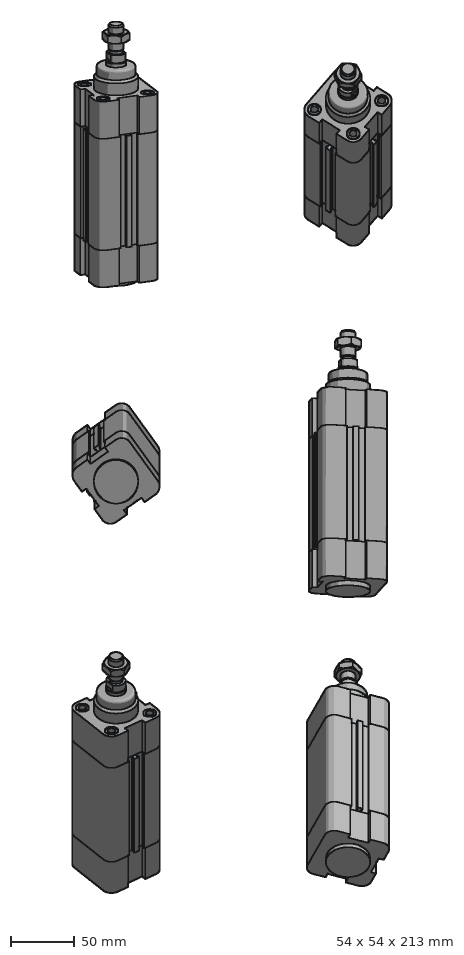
import cadquery as cq
import math

body_width = 54.0
half_width = body_width / 2
corner_radius = 8.0

rear_collar_height = 4.0
cap_height = 31.0
barrel_height = 93.0
total_height = 213.0
rear_cap_bottom = rear_collar_height
barrel_bottom = rear_cap_bottom + cap_height
barrel_top = barrel_bottom + barrel_height
front_cap_top = barrel_top + cap_height

slot_angles = (-90, 0, 90)
slot_width = 17.0
slot_depth = 4.2
slot_opening = 14.6
lip_thickness = 1.8
rib_width = 3.2
rib_head_width = 4.5

collar_diameter = 35.0
collar_neck_diameter = 31.0
collar_step_height = 10.0
collar_cone_height = (collar_diameter - collar_neck_diameter) / 2
collar_height = 20.0
collar_rounding = 2.0

screw_spacing = body_width - 2 * corner_radius
ring_outer_diameter = 10.5
ring_inner_diameter = 10.0
ring_depth = 1.0
screw_hole_diameter = 6.0
screw_hole_depth = 12.0
drill_tip_angle = 118.0

rod_diameter = 16.0
rod_shoulder_top = 182.6
rod_shoulder_chamfer_height = 0.6
wrench_diameter = 15.5
wrench_top = 189.0
wrench_width = 13.0
wrench_flat_bottom = 183.9
thread_diameter = 12.0
thread_bottom = 192.2
relief_diameter = 10.5
thread_tip_diameter = 10.2
thread_tip_chamfer_height = 1.4

nut_width = 19.0
nut_corner_diameter = nut_width / math.cos(math.pi / 6)
nut_face_diameter = 18.6
nut_height = 7.0
nut_bottom = 199.2
nut_chamfer_angle = math.radians(30)


def body_block(bottom, height):
    """Square block with rounded upright edges."""
    block = cq.Workplane("XY").workplane(offset=bottom).rect(body_width, body_width).extrude(height)
    return block.edges("|Z").fillet(corner_radius)


def cylinder(diameter, bottom, height):
    return cq.Workplane("XY").workplane(offset=bottom).circle(diameter / 2).extrude(height)


def side_bar(width, depth_start, depth_end, bottom, height):
    """Upright bar on the -Y side, between two depths below the side face."""
    bar = cq.Workplane("XY").box(width, depth_end - depth_start, height, centered=(True, False, False))
    return bar.translate((0, depth_start - half_width, bottom))


def around_slotted_sides(bar):
    """The -Y side bar repeated on each side that carries a slot."""
    return [bar.rotate((0, 0, 0), (0, 0, 1), angle) for angle in slot_angles]


def cap_block(bottom):
    """End cap with a plain wide slot in three sides."""
    cap = body_block(bottom, cap_height)
    for slot in around_slotted_sides(side_bar(slot_width, 0, slot_depth, bottom, cap_height)):
        cap = cap.cut(slot)
    return cap


def front_collar():
    """Stepped collar with a conical shoulder and a rounded rim."""
    collar = (
        cq.Workplane("XZ")
        .lineTo(collar_diameter / 2, 0)
        .lineTo(collar_diameter / 2, collar_step_height)
        .lineTo(collar_neck_diameter / 2, collar_step_height + collar_cone_height)
        .lineTo(collar_neck_diameter / 2, collar_height)
        .lineTo(0, collar_height)
        .close()
        .revolve(360, (0, 0, 0), (0, 1, 0))
    )
    return collar.faces(">Z").edges().fillet(collar_rounding).translate((0, 0, front_cap_top))


def screw_hole():
    """Drilled hole with a conical bottom, below Z = 0."""
    hole_radius = screw_hole_diameter / 2
    tip_height = hole_radius / math.tan(math.radians(drill_tip_angle / 2))
    return (
        cq.Workplane("XZ")
        .lineTo(hole_radius, 0)
        .lineTo(hole_radius, -screw_hole_depth)
        .lineTo(0, -screw_hole_depth - tip_height)
        .close()
        .revolve(360, (0, 0, 0), (0, 1, 0))
    )


def screw_ring():
    """Narrow ring groove around a screw hole, below Z = 0."""
    ring = cq.Workplane("XY").circle(ring_outer_diameter / 2).circle(ring_inner_diameter / 2)
    return ring.extrude(-ring_depth)


def make_front_cap():
    cap = cap_block(barrel_top).union(front_collar())
    cap = cap.cut(cylinder(rod_diameter, barrel_top, cap_height + collar_height))
    for x_side in (-1, 1):
        for y_side in (-1, 1):
            place = (x_side * screw_spacing / 2, y_side * screw_spacing / 2, front_cap_top)
            cap = cap.cut(screw_hole().translate(place))
            cap = cap.cut(screw_ring().translate(place))
    return cap


def make_rear_cap():
    return cap_block(rear_cap_bottom).union(cylinder(collar_diameter, 0, rear_cap_bottom))


def make_barrel():
    """Profile barrel whose T-slots are each split by a T-shaped rib."""
    span = (barrel_bottom, barrel_height)
    slot = side_bar(slot_opening, 0, slot_depth, *span)
    slot = slot.union(side_bar(slot_width, lip_thickness, slot_depth, *span))
    rib = side_bar(rib_width, 0, slot_depth, *span)
    rib = rib.union(side_bar(rib_head_width, 0, lip_thickness, *span))
    barrel = body_block(*span)
    for groove in around_slotted_sides(slot.cut(rib)):
        barrel = barrel.cut(groove)
    return barrel


def wrench_flat_cut():
    """Cut on the -Y side of the rod: an upright flat that runs out at 45 degrees at its lower end."""
    flat = -wrench_width / 2
    outside = -rod_diameter
    return (
        cq.Workplane("YZ")
        .moveTo(flat, wrench_top)
        .lineTo(flat, wrench_flat_bottom)
        .lineTo(outside, wrench_flat_bottom - (flat - outside))
        .lineTo(outside, wrench_top)
        .close()
        .extrude(rod_diameter / 2, both=True)
    )


def make_rod():
    """Piston rod with a wrench section, a thread relief and a threaded end."""
    relief_chamfer = (thread_diameter - relief_diameter) / 2
    rod = (
        cq.Workplane("XZ")
        .moveTo(0, barrel_top)
        .lineTo(rod_diameter / 2, barrel_top)
        .lineTo(rod_diameter / 2, rod_shoulder_top - rod_shoulder_chamfer_height)
        .lineTo(wrench_diameter / 2, rod_shoulder_top)
        .lineTo(wrench_diameter / 2, wrench_top)
        .lineTo(relief_diameter / 2, wrench_top)
        .lineTo(relief_diameter / 2, thread_bottom - relief_chamfer)
        .lineTo(thread_diameter / 2, thread_bottom)
        .lineTo(thread_diameter / 2, total_height - thread_tip_chamfer_height)
        .lineTo(thread_tip_diameter / 2, total_height)
        .lineTo(0, total_height)
        .close()
        .revolve(360, (0, 0, 0), (0, 1, 0))
    )
    flat_cut = wrench_flat_cut()
    return rod.cut(flat_cut).cut(flat_cut.mirror("XZ"))


def make_nut():
    """Hexagon nut with corners on the X axis and 30-degree corner chamfers on both faces."""
    chamfer_width = (nut_corner_diameter - nut_face_diameter) / 2
    chamfer_height = chamfer_width * math.tan(nut_chamfer_angle)
    hexagon = cq.Workplane("XY").polygon(6, nut_corner_diameter).extrude(nut_height)
    chamfered_disc = (
        cq.Workplane("XY")
        .circle(nut_corner_diameter / 2)
        .extrude(nut_height)
        .faces("|Z")
        .edges()
        .chamfer(chamfer_height, chamfer_width)
    )
    nut = hexagon.intersect(chamfered_disc).translate((0, 0, nut_bottom))
    return nut.cut(cylinder(thread_diameter, nut_bottom, nut_height))


rear_cap = make_rear_cap()
barrel = make_barrel()
front_cap = make_front_cap()
rod = make_rod()
nut = make_nut()

result = cq.Compound.makeCompound(
    [rear_cap.val(), barrel.val(), front_cap.val(), rod.val(), nut.val()]
)